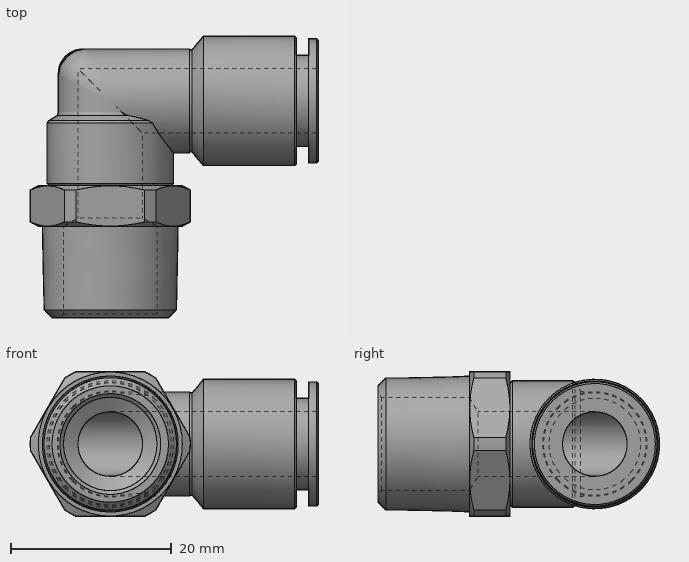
import cadquery as cq
import math


elbow_radius = 6.48
corner_fillet = 3.1
bore_radius = 4.0

elbow_end = 9.85
shoulder_start = 10.15
shoulder_end = 11.55
body_end = 23.13
flange_start = 24.63
tube_end = 25.85
body_radius = 8.05
neck_radius = 5.7
flange_radius = 7.75
tube_chamfer = 0.2
shoulder_groove = 0.1

collar_radius = 7.88
collar_root = 1.4
collar_cone_start = 1.8
collar_cone_end = 2.45
collar_start = 2.75
collar_root_flare = 0.1
collar_edge_radius = 7.65
collar_chamfer = 0.3

hex_start = 10.53
hex_end = 15.57
hex_flats = 18.0
hex_turned_radius = 9.95
hex_face_radius = 8.95
hex_chamfer_length = 0.55

thread_end = 26.95
thread_root_radius = 8.45
thread_tip_radius = 8.25
thread_chamfer = 1.0
socket_radius = 5.8
socket_mouth_radius = 6.25
socket_mouth_depth = socket_mouth_radius - socket_radius
socket_end = hex_end
socket_drill_half_angle = 60
socket_cone_length = (socket_radius - bore_radius) / math.tan(math.radians(socket_drill_half_angle))


def turned_x(profile):
    """Revolve (x, radius) points about the X axis."""
    points = [(profile[0][0], 0)] + profile + [(profile[-1][0], 0)]
    return cq.Workplane("XY").polyline(points).close().revolve(360, (0, 0, 0), (1, 0, 0))


def turned_y(profile):
    """Revolve (distance towards -Y, radius) points about the Y axis."""
    outline = [(profile[0][0], 0)] + profile + [(profile[-1][0], 0)]
    points = [(radius, -distance) for distance, radius in outline]
    return cq.Workplane("XY").polyline(points).close().revolve(360, (0, 0, 0), (0, 1, 0))


def sharp_corner(radius):
    """Outer corner shared by two crossing rods, with a mitre edge where they meet."""
    along_x = cq.Workplane("YZ").circle(radius).extrude(-radius)
    along_y = cq.Workplane("XZ").circle(radius).extrude(-radius)
    return along_x.intersect(along_y)


def make_corner():
    """Elbow corner with its mitre edge rounded."""
    side = 2 * elbow_radius
    inset = elbow_radius / 4
    mitre_edges = cq.selectors.BoxSelector((-side, inset, -side), (-inset, side, side))
    return sharp_corner(elbow_radius).edges(mitre_edges).fillet(corner_fillet)


def make_tube_arm():
    return turned_x([
        (0, elbow_radius),
        (elbow_end, elbow_radius),
        (elbow_end, elbow_radius - shoulder_groove),
        (shoulder_start, elbow_radius - shoulder_groove),
        (shoulder_end, body_radius),
        (body_end - tube_chamfer, body_radius),
        (body_end, body_radius - tube_chamfer),
        (body_end, neck_radius),
        (flange_start, neck_radius),
        (flange_start, flange_radius),
        (tube_end - tube_chamfer, flange_radius),
        (tube_end, flange_radius - tube_chamfer),
    ])


def make_collar():
    return turned_y([
        (0, elbow_radius),
        (collar_root, elbow_radius),
        (collar_cone_start, elbow_radius + collar_root_flare),
        (collar_cone_end, collar_edge_radius),
        (collar_start, collar_radius),
        (hex_start - collar_chamfer, collar_radius),
        (hex_start, collar_radius - collar_chamfer),
    ])


def make_hexagon():
    corner_diameter = hex_flats / math.cos(math.pi / 6)
    prism = (
        cq.Workplane("XZ", origin=(0, -hex_start, 0))
        .polygon(6, corner_diameter)
        .extrude(hex_end - hex_start)
    )
    envelope = turned_y([
        (hex_start, hex_face_radius),
        (hex_start + hex_chamfer_length, hex_turned_radius),
        (hex_end - hex_chamfer_length, hex_turned_radius),
        (hex_end, hex_face_radius),
    ])
    return prism.intersect(envelope)


def make_thread():
    return turned_y([
        (hex_end, thread_root_radius),
        (thread_end - thread_chamfer, thread_tip_radius),
        (thread_end, thread_tip_radius - thread_chamfer),
    ])


def make_bores():
    tube_bore = turned_x([(0, bore_radius), (tube_end, bore_radius)])
    socket = turned_y([
        (0, bore_radius),
        (socket_end - socket_cone_length, bore_radius),
        (socket_end, socket_radius),
        (thread_end - socket_mouth_depth, socket_radius),
        (thread_end, socket_mouth_radius),
    ])
    return tube_bore.union(socket).union(sharp_corner(bore_radius))


body = make_tube_arm().union(make_corner())
for part in (make_collar(), make_hexagon(), make_thread()):
    body = body.union(part, clean=False)
result = body.cut(make_bores(), clean=False)